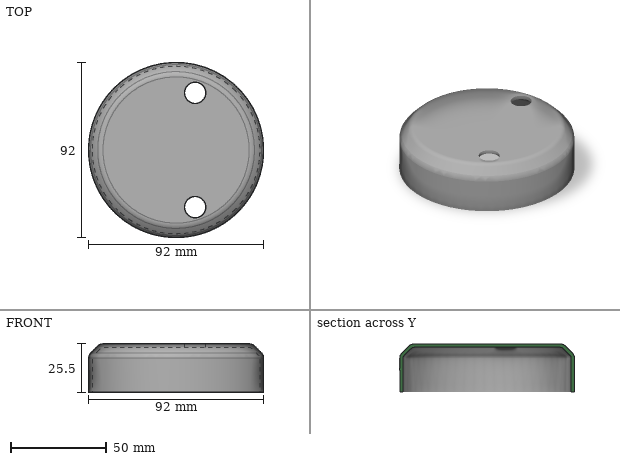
import cadquery as cq
import math

outer_diameter = 92.0
inner_diameter = 88.0
height = 25.5
wall = (outer_diameter - inner_diameter) / 2

shoulder = 6.0
edge_round = 4.0

hole_diameter = 11.0
hole_x = 10.0
hole_y = 30.0


def shouldered_disc(diameter, disc_height, slope, rounding):
    """Solid disc with a 45 degree shoulder blended into its side and top."""
    disc = cq.Workplane("XY").circle(diameter / 2).extrude(disc_height)
    disc = disc.faces(">Z").edges().chamfer(slope)
    return disc.edges("%CIRCLE and (not <Z)").fillet(rounding)


inner_shoulder = shoulder - wall * (2 - math.sqrt(2))
inner_round = edge_round - wall

body = shouldered_disc(outer_diameter, height, shoulder, edge_round)
cavity = shouldered_disc(inner_diameter, height - wall, inner_shoulder, inner_round)

holes = (
    cq.Workplane("XY")
    .pushPoints([(hole_x, -hole_y), (hole_x, hole_y)])
    .circle(hole_diameter / 2)
    .extrude(height)
)

result = body.cut(cavity).cut(holes)